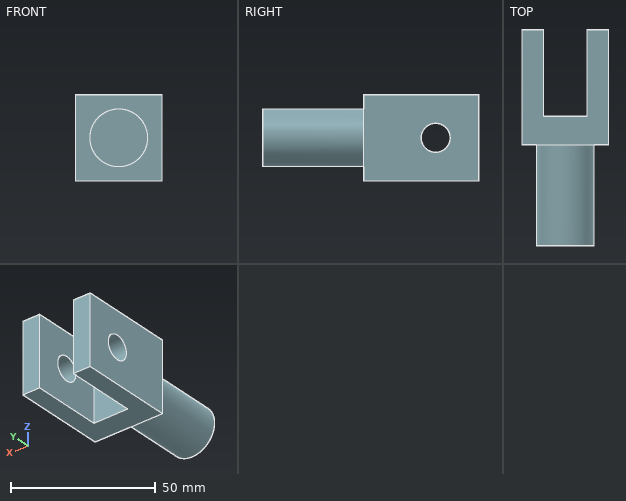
import cadquery as cq

total_length = 75.0
block_side = 30.0
block_length = 40.0
rod_diameter = 20.0
slot_width = block_side / 2
slot_depth = 30.0
pin_diameter = 10.0

rod_length = total_length - block_length
slot_floor_y = block_length - slot_depth
pin_y = block_length - slot_depth / 2

block = cq.Workplane("XY").box(block_side, block_length, block_side, centered=(True, False, True))

rod = cq.Workplane("XZ").circle(rod_diameter / 2).extrude(rod_length)

slot = (
    cq.Workplane("XY")
    .box(slot_width, slot_depth, block_side, centered=(True, False, True))
    .translate((0, slot_floor_y, 0))
)

pin_hole = (
    cq.Workplane("YZ")
    .center(pin_y, 0)
    .circle(pin_diameter / 2)
    .extrude(block_side / 2, both=True)
)

result = block.union(rod).cut(slot).cut(pin_hole)